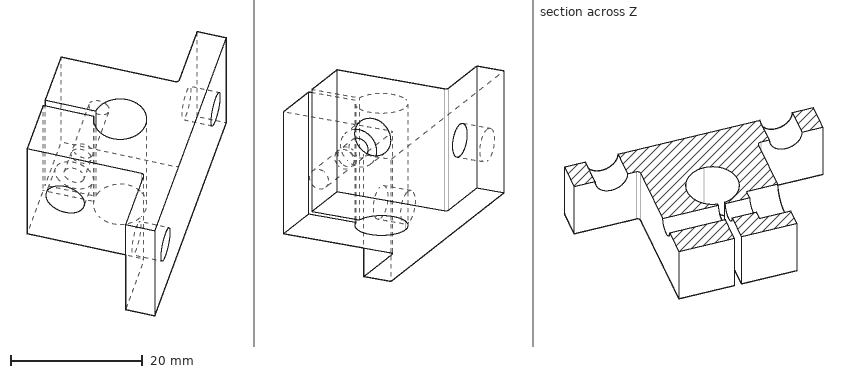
import cadquery as cq

flange_width = 40
height = 20
depth = 23.1
flange_thickness = 4.6
flange_hole_diameter = 5.2
flange_hole_spacing = 28

block_width = 19.0
corner_radius = 0.5

bore_diameter = 8.1
bore_from_front = 12
slit_width = 1.1

screw_from_front = 6
screw_hole_diameter = 3.2
counterbore_diameter = 6.1
counterbore_depth = 5.0

flange_face_x = depth - flange_thickness


def box(x_start, x_end, width):
    """Full-height box centred on Y = 0."""
    length = x_end - x_start
    solid = cq.Workplane("XY").box(length, width, height, centered=(False, True, False))
    return solid.translate((x_start, 0, 0))


def cylinder_along(direction, start, diameter, length):
    """Cylinder growing from a start point along a direction."""
    solid = cq.Solid.makeCylinder(diameter / 2, length, cq.Vector(*start), cq.Vector(*direction))
    return cq.Workplane(solid)


body = box(flange_face_x, depth, flange_width).union(box(0, depth, block_width))
for side in (-1, 1):
    corner = cq.NearestToPointSelector((flange_face_x, side * block_width / 2, height / 2))
    body = body.edges("|Z").edges(corner).fillet(corner_radius)

body = body.cut(cylinder_along((0, 0, 1), (bore_from_front, 0, 0), bore_diameter, height))
body = body.cut(box(0, bore_from_front, slit_width))

for side in (-1, 1):
    start = (flange_face_x, side * flange_hole_spacing / 2, height / 2)
    body = body.cut(cylinder_along((1, 0, 0), start, flange_hole_diameter, flange_thickness))

screw_start = (screw_from_front, -block_width / 2, height / 2)
body = body.cut(cylinder_along((0, 1, 0), screw_start, screw_hole_diameter, block_width))
body = body.cut(cylinder_along((0, 1, 0), screw_start, counterbore_diameter, counterbore_depth))

result = body